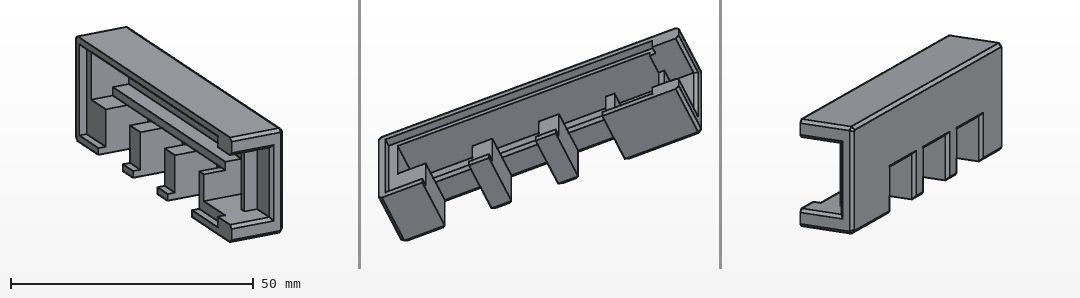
import cadquery as cq

length = 67.5
depth = 12.2
height = 23.1
edge_chamfer = 0.7

rim = 1.5
recess_end_x = 61.5
recess_depth = 1.7

back_wall = 1.7
cavity_start_x = 3.5
cavity_top_z = 20.3
upper_floor_z = 9.75
lower_floor_z = 3.85
floor_step_x = 52.3
cavity_back_y = depth - back_wall

bar_top_z = 11.6
bar_front_y = 6.75

opening_top_z = 19.2
opening_back_y = 9.2
rib_start_x = 60.2
rib_front_y = 6.25

notch_count = 3
notch_start_x = 9.8
notch_width = 10.5
post_width = 4.5


def block(x_range, y_range, z_range):
    """Box spanning the given (start, end) ranges."""
    sizes = [end - start for start, end in (x_range, y_range, z_range)]
    corner = (x_range[0], y_range[0], z_range[0])
    return cq.Workplane("XY").box(*sizes, centered=False).translate(corner)


def notches():
    cutter = cq.Workplane("XY")
    for index in range(notch_count):
        start_x = notch_start_x + index * (notch_width + post_width)
        cutter = cutter.union(block((start_x, start_x + notch_width), (0, depth), (0, upper_floor_z)))
    return cutter


def housing():
    """Notched block with chamfered sides; the back chamfer also follows the notches."""
    body = block((0, length), (0, depth), (0, height))
    body = body.edges("|Y").chamfer(edge_chamfer)
    body = body.cut(notches())
    return body.faces(">Y").edges().chamfer(edge_chamfer)


def front_recess():
    return block((rim, recess_end_x), (0, recess_depth), (rim, height - rim))


def main_cavity():
    """Room above the cross bar and posts, stepping down beside the opening."""
    upper = block((cavity_start_x, rib_start_x), (0, cavity_back_y), (bar_top_z, cavity_top_z))
    over_posts = block((cavity_start_x, floor_step_x), (0, bar_front_y), (upper_floor_z, bar_top_z))
    lower = block((floor_step_x, rib_start_x), (0, cavity_back_y), (lower_floor_z, bar_top_z))
    return upper.union(over_posts).union(lower)


def end_opening():
    """Opening through the +X end, running round the front of the rib."""
    z_range = (lower_floor_z, opening_top_z)
    in_front_of_rib = block((rib_start_x, recess_end_x), (0, rib_front_y), z_range)
    beyond_rib = block((recess_end_x, length), (0, opening_back_y), z_range)
    return in_front_of_rib.union(beyond_rib)


def chamfer_end_opening(body):
    """Bevel the three edges where the opening breaks through the +X end."""
    reach = edge_chamfer / 2
    opening_rim = cq.selectors.BoxSelector(
        (length - reach, 0, lower_floor_z - reach),
        (length + reach, opening_back_y + reach, opening_top_z + reach),
    )
    return body.edges(opening_rim).chamfer(edge_chamfer)


hollowed = housing().cut(front_recess()).cut(main_cavity()).cut(end_opening())
result = chamfer_end_opening(hollowed)